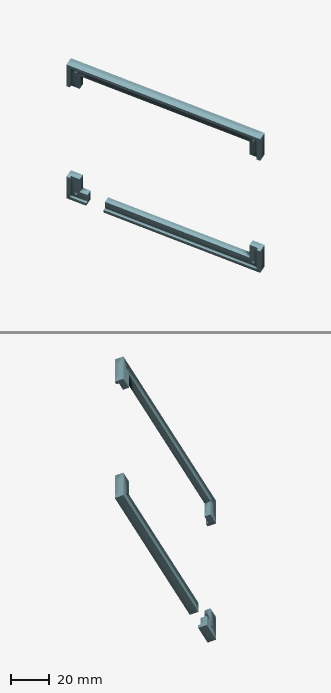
import cadquery as cq

frame_length = 113.0
frame_height = 106.4
bar_width = 7.0
leg_length = 17.2

frame_depth = 5.0
body_depth = 3.5
lip_width = 2.0

hole_diameter = 2.0
hole_inset = 4.7

opening_start = 11.5
opening_end = 21.7

half_length = frame_length / 2
half_height = frame_height / 2


def block(x_min, x_max, z_min, z_max):
    """Box reaching from the back plane forward to the front plane."""
    return cq.Workplane("XY").box(
        x_max - x_min, frame_depth, z_max - z_min, centered=False
    ).translate((x_min, -frame_depth, z_min))


def frame_ring():
    """Closed frame with a raised outer rim and four corner holes."""
    rim = block(-half_length, half_length, -half_height, half_height)
    rebate = (
        cq.Workplane("XZ", origin=(0, -body_depth, 0))
        .rect(frame_length - 2 * lip_width, frame_height - 2 * lip_width)
        .extrude(frame_depth - body_depth)
    )
    window = (
        cq.Workplane("XZ")
        .rect(frame_length - 2 * bar_width, frame_height - 2 * bar_width)
        .extrude(frame_depth)
    )
    holes = (
        cq.Workplane("XZ")
        .rect(frame_length - 2 * hole_inset, frame_height - 2 * hole_inset, forConstruction=True)
        .vertices()
        .circle(hole_diameter / 2)
        .extrude(frame_depth)
    )
    return rim.cut(rebate).cut(window).cut(holes)


def upper_bracket():
    """Full-length bar along the top with a leg down at each end."""
    zone = block(-half_length, half_length, half_height - leg_length, half_height)
    return frame_ring().intersect(zone)


def lower_piece(x_min, x_max):
    """Part of the bottom bar between two X positions, with the leg it includes."""
    zone = block(x_min, x_max, -half_height, -half_height + leg_length)
    return frame_ring().intersect(zone)


upper = upper_bracket()
lower_corner = lower_piece(-half_length, -half_length + opening_start)
lower_bracket = lower_piece(-half_length + opening_end, half_length)

result = cq.Compound.makeCompound([upper.val(), lower_corner.val(), lower_bracket.val()])